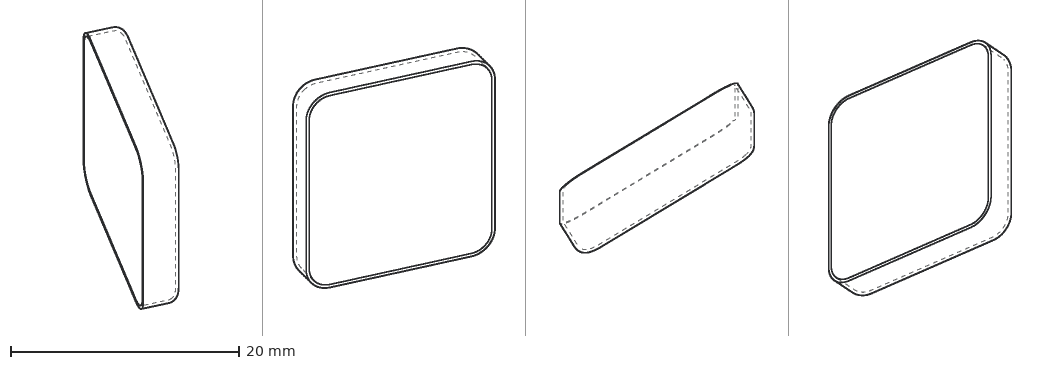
import cadquery as cq

width = 18.3
depth = 3.5
height = 19.3
corner_radius = 2.3
edge_radius = 1.0
wall = 0.3


def rounded_block(inset):
    """Solid inset from the sides and the +Y floor face, starting at the open rim."""
    return (
        cq.Workplane("XY")
        .box(width - 2 * inset, depth - inset, height - 2 * inset)
        .translate((0, -inset / 2, 0))
        .edges("|Y")
        .fillet(corner_radius - inset)
        .faces(">Y")
        .edges()
        .fillet(edge_radius - inset)
    )


outer_body = rounded_block(0)
cavity = rounded_block(wall)

result = outer_body.cut(cavity)